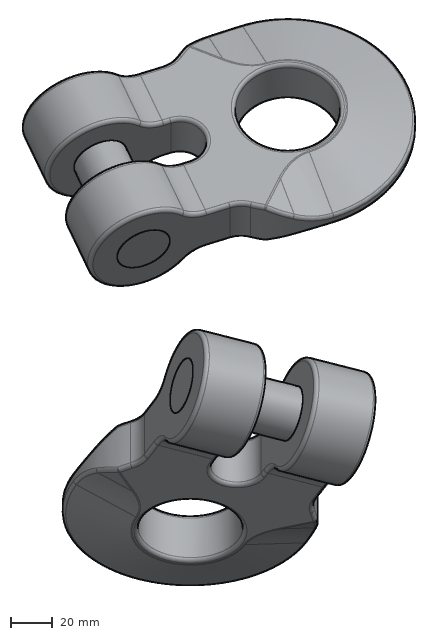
import cadquery as cq
import math

total_length = 180.0
eye_diameter = 122.0
boss_diameter = 56.0
eye_radius = eye_diameter / 2
boss_radius = boss_diameter / 2
pin_y = eye_radius + boss_radius - total_length
thickness = 27.0
half_thickness = thickness / 2

hole_diameter = 50.0
fork_width = 89.6
slot_width = 25.0
slot_center_y = -55.0
pin_diameter = 27.0
blend_radius = 15.0
edge_radius = 2.0

bevel_inner_radius = 28.3
rim_half_height = 3.0
bevel_slope = (half_thickness - rim_half_height) / (eye_radius - bevel_inner_radius)

runout_slope = 0.34
runout_arc_radius = 57.6

clearance = 7.2


def plan_prism():
    """Outline in plan: eye disc blended into the straight sides of the fork."""
    half_width = fork_width / 2
    blend_x = half_width + blend_radius
    center_distance = eye_radius + blend_radius
    blend_y = -math.sqrt(center_distance**2 - blend_x**2)
    tangent_x = blend_x * eye_radius / center_distance
    tangent_y = blend_y * eye_radius / center_distance
    half_turn = math.atan2(-blend_y, blend_x) / 2
    mid_x = blend_x - blend_radius * math.cos(half_turn)
    mid_y = blend_y + blend_radius * math.sin(half_turn)
    end_y = pin_y - boss_radius - clearance
    return (
        cq.Workplane("XY")
        .workplane(offset=-boss_diameter)
        .moveTo(half_width, end_y)
        .lineTo(half_width, blend_y)
        .threePointArc((mid_x, mid_y), (tangent_x, tangent_y))
        .threePointArc((0, eye_radius), (-tangent_x, tangent_y))
        .threePointArc((-mid_x, mid_y), (-half_width, blend_y))
        .lineTo(-half_width, end_y)
        .close()
        .extrude(2 * boss_diameter)
    )


def side_prism():
    """Outline in side elevation: flat plate blended into the round pin boss."""
    blend_z = half_thickness + blend_radius
    center_distance = boss_radius + blend_radius
    blend_dy = math.sqrt(center_distance**2 - blend_z**2)
    blend_y = pin_y + blend_dy
    tangent_y = pin_y + blend_dy * boss_radius / center_distance
    tangent_z = blend_z * boss_radius / center_distance
    half_turn = math.atan2(blend_dy, blend_z) / 2
    mid_y = blend_y - blend_radius * math.sin(half_turn)
    mid_z = blend_z - blend_radius * math.cos(half_turn)
    end_y = eye_radius + clearance
    return (
        cq.Workplane("YZ", origin=(-eye_diameter, 0, 0))
        .moveTo(end_y, half_thickness)
        .lineTo(blend_y, half_thickness)
        .threePointArc((mid_y, mid_z), (tangent_y, tangent_z))
        .threePointArc((pin_y - boss_radius, 0), (tangent_y, -tangent_z))
        .threePointArc((mid_y, -mid_z), (blend_y, -half_thickness))
        .lineTo(end_y, -half_thickness)
        .close()
        .extrude(2 * eye_diameter)
    )


def hole_cutter():
    return (
        cq.Workplane("XY")
        .workplane(offset=-thickness)
        .circle(hole_diameter / 2)
        .extrude(2 * thickness)
    )


def slot_cutter():
    """Fork slot with a round inner end."""
    slot_radius = slot_width / 2
    end_y = pin_y - boss_radius - clearance
    return (
        cq.Workplane("XY")
        .workplane(offset=-boss_diameter)
        .moveTo(slot_radius, end_y)
        .lineTo(slot_radius, slot_center_y)
        .threePointArc((0, slot_center_y + slot_radius), (-slot_radius, slot_center_y))
        .lineTo(-slot_radius, end_y)
        .close()
        .extrude(2 * boss_diameter)
    )


def cone_cutter():
    """Upper conical bevel around the half of the eye away from the fork."""
    outer_radius = eye_radius + clearance
    outer_z = rim_half_height - bevel_slope * clearance
    top_z = half_thickness + clearance
    return (
        cq.Workplane("XZ")
        .moveTo(bevel_inner_radius, half_thickness)
        .lineTo(outer_radius, outer_z)
        .lineTo(outer_radius, top_z)
        .lineTo(bevel_inner_radius, top_z)
        .close()
        .revolve(180, (0, 0, 0), (0, 1, 0))
    )


def runout_cutter():
    """Upper +X bevel run-out: an arc and a ramp extruded down the bevel slope."""
    ramp_angle = math.atan(runout_slope)
    arc_y = -runout_arc_radius * math.sin(ramp_angle)
    arc_z = half_thickness + runout_arc_radius * (1 - math.cos(ramp_angle))
    mid_y = -runout_arc_radius * math.sin(ramp_angle / 2)
    mid_z = half_thickness + runout_arc_radius * (1 - math.cos(ramp_angle / 2))
    end_y = -eye_radius
    end_z = arc_z + runout_slope * (arc_y - end_y)
    top_z = end_z + clearance
    section = (
        cq.Workplane("YZ", origin=(bevel_inner_radius, 0, 0))
        .moveTo(0, half_thickness)
        .threePointArc((mid_y, mid_z), (arc_y, arc_z))
        .lineTo(end_y, end_z)
        .lineTo(end_y, top_z)
        .lineTo(0, top_z)
        .close()
        .wire()
        .val()
    )
    reach = eye_radius + clearance - bevel_inner_radius
    direction = cq.Vector(reach, 0, -bevel_slope * reach)
    return cq.Workplane(cq.Solid.extrudeLinear(section, [], direction))


def is_sharp(edge):
    """True for the edges to round; the edges left alone are upright, sloping or X-wise lines."""
    tolerance = 1e-3
    if edge.geomType() != "LINE":
        return True
    direction = edge.tangentAt(0)
    return abs(direction.z) < tolerance and abs(direction.y) > tolerance


def pin_cylinder():
    return (
        cq.Workplane("YZ", origin=(-fork_width / 2, 0, 0))
        .center(pin_y, 0)
        .circle(pin_diameter / 2)
        .extrude(fork_width)
    )


def make_shackle():
    """Eye plate with its bevels, rounded edges and pin bore."""
    body = plan_prism().intersect(side_prism()).cut(hole_cutter()).cut(slot_cutter())
    right_runout = runout_cutter()
    for cutter in (cone_cutter(), right_runout, right_runout.mirror("YZ")):
        body = body.cut(cutter).cut(cutter.mirror("XY"))
    sharp_edges = [edge for edge in body.edges().vals() if is_sharp(edge)]
    body = body.newObject(sharp_edges).fillet(edge_radius)
    return body.cut(pin_cylinder())


shackle = make_shackle()
pin = pin_cylinder()

result = cq.Compound.makeCompound([shackle.val(), pin.val()])